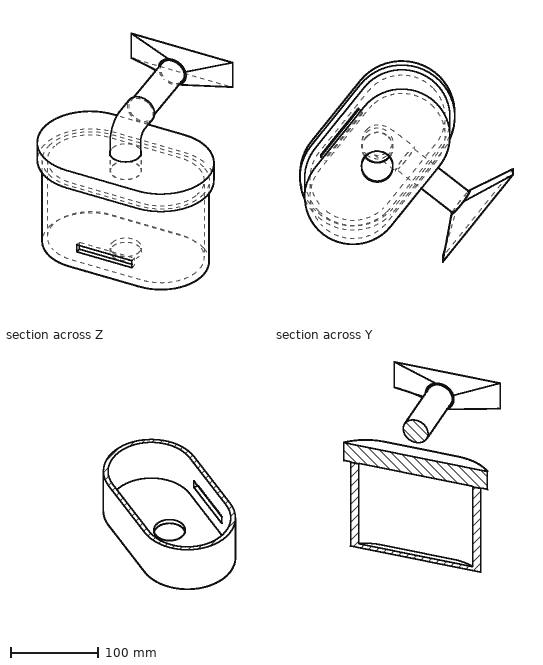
import cadquery as cq
import math

TOTAL_LENGTH = 212.4
TOTAL_HEIGHT = 192.5
TOTAL_DEPTH = 208.1

STADIUM_STRAIGHT = 90.5
LID_DEPTH = TOTAL_LENGTH - STADIUM_STRAIGHT
LID_THICKNESS = 24.8
LID_OVERHANG = 5.5
HOUSING_DEPTH = LID_DEPTH - 2 * LID_OVERHANG
HOUSING_HEIGHT = 115.0
WALL = 6.0
LID_TOP = HOUSING_HEIGHT + LID_THICKNESS

SLOT_LENGTH = 70.0
SLOT_HEIGHT = 10.0
SLOT_BOTTOM = 24.0

ELBOW_DIAMETER = 35.0
TUBE_DIAMETER = 31.0
BEND_RADIUS = 17.8
RISER_HOLE_DIAMETER = 36.0
SOCKET_LENGTH = 22.3
TUBE_LENGTH = 82.2
PIPE_AXIS_Z = TOTAL_HEIGHT - ELBOW_DIAMETER / 2

NOZZLE_LENGTH = 25.0
NOZZLE_WIDTH = 130.2
NOZZLE_HEIGHT = ELBOW_DIAMETER
NOZZLE_INLET_DIAMETER = ELBOW_DIAMETER
INLET_TWIST = 17.0

NOZZLE_MOUTH_Y = TOTAL_DEPTH - LID_DEPTH / 2
NOZZLE_INLET_Y = NOZZLE_MOUTH_Y - NOZZLE_LENGTH
SOCKET_END_Y = NOZZLE_INLET_Y - TUBE_LENGTH
BEND_END_Y = SOCKET_END_Y - SOCKET_LENGTH
RISER_Y = BEND_END_Y - BEND_RADIUS


def stadium(depth, bottom, height):
    """Upright stadium prism whose straight sides run along X."""
    outline = cq.Workplane("XY").workplane(offset=bottom).slot2D(STADIUM_STRAIGHT + depth, depth)
    return outline.extrude(height)


def riser_hole():
    """Clearance bore around the riser axis, through the lid and the housing floor."""
    return cq.Workplane("XY").center(0, RISER_Y).circle(RISER_HOLE_DIAMETER / 2).extrude(LID_TOP)


def make_housing():
    """Open-topped box with a floor and a slot low in its front wall."""
    shell = stadium(HOUSING_DEPTH, 0, HOUSING_HEIGHT)
    cavity = stadium(HOUSING_DEPTH - 2 * WALL, WALL, HOUSING_HEIGHT - WALL)
    slot = cq.Workplane("XY").box(SLOT_LENGTH, 2 * WALL, SLOT_HEIGHT, centered=(True, True, False))
    slot = slot.translate((0, -HOUSING_DEPTH / 2, SLOT_BOTTOM))
    return shell.cut(cavity).cut(slot).cut(riser_hole())


def make_lid():
    """Plate closing the housing, with a clearance hole for the riser."""
    return stadium(LID_DEPTH, HOUSING_HEIGHT, LID_THICKNESS).cut(riser_hole())


def make_elbow():
    """Pipe run: vertical riser through the lid, quarter bend and horizontal socket."""
    path = (
        cq.Workplane("YZ")
        .moveTo(RISER_Y, HOUSING_HEIGHT)
        .lineTo(RISER_Y, PIPE_AXIS_Z - BEND_RADIUS)
        .radiusArc((BEND_END_Y, PIPE_AXIS_Z), BEND_RADIUS)
        .lineTo(SOCKET_END_Y, PIPE_AXIS_Z)
    )
    section = cq.Workplane("XY", origin=(0, RISER_Y, HOUSING_HEIGHT)).circle(ELBOW_DIAMETER / 2)
    return section.sweep(path)


def make_tube():
    """Straight tube from the elbow socket to the nozzle inlet."""
    plane = cq.Plane(origin=(0, SOCKET_END_Y, PIPE_AXIS_Z), xDir=(1, 0, 0), normal=(0, 1, 0))
    return cq.Workplane(plane).circle(TUBE_DIAMETER / 2).extrude(TUBE_LENGTH)


def inlet_point(angle):
    """Point on the inlet circle, in degrees from +X toward +Z."""
    radius = NOZZLE_INLET_DIAMETER / 2
    return radius * math.cos(math.radians(angle)), radius * math.sin(math.radians(angle))


def make_nozzle():
    """Loft from a wide rectangular mouth to a round inlet of four quarter arcs, one per mouth side."""
    half_width = NOZZLE_WIDTH / 2
    half_height = NOZZLE_HEIGHT / 2
    plane = cq.Plane(origin=(0, NOZZLE_MOUTH_Y, PIPE_AXIS_Z), xDir=(1, 0, 0), normal=(0, -1, 0))
    mouth = cq.Workplane(plane).polyline(
        [
            (half_width, half_height),
            (-half_width, half_height),
            (-half_width, -half_height),
            (half_width, -half_height),
        ]
    ).close()
    inlet = mouth.workplane(offset=NOZZLE_LENGTH).moveTo(*inlet_point(INLET_TWIST))
    for quarter in range(4):
        start = INLET_TWIST + 90 * quarter
        inlet = inlet.threePointArc(inlet_point(start + 45), inlet_point(start + 90))
    return inlet.close().loft()


housing = make_housing()
lid = make_lid()
elbow = make_elbow()
tube = make_tube()
nozzle = make_nozzle()

result = cq.Compound.makeCompound([housing.val(), lid.val(), elbow.val(), tube.val(), nozzle.val()])